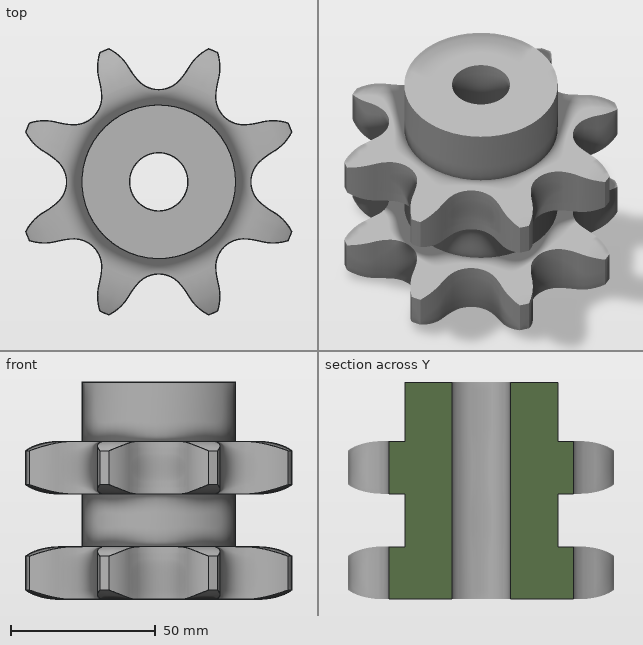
import cadquery as cq
import math


tooth_count = 8
chain_pitch = 31.7
roller_diameter = 19.0
tip_radius = 49.1
ring_width = 18.2
ring_gap = 18.2
tip_width = 11.7
crown_start_radius = 34.6
hub_diameter = 53.0
bore_diameter = 20.0
total_height = 75.0

seat_factor = 0.5025
flank_center_factor = 0.8
head_center_factor = 1.4
seat_end_angle = math.radians(35 + 60 / tooth_count)
flank_sweep = math.radians(18 - 56 / tooth_count)

half_pitch_angle = math.pi / tooth_count
pitch_radius = chain_pitch / (2 * math.sin(half_pitch_angle))
seat_radius = seat_factor * roller_diameter
flank_center_offset = flank_center_factor * roller_diameter
flank_radius = seat_radius + flank_center_offset
head_center_offset = head_center_factor * roller_diameter


def polar_step(start, length, angle):
    """Point at the given distance and direction from start."""
    return (start[0] + length * math.cos(angle), start[1] + length * math.sin(angle))


def mirrored(point):
    return (point[0], -point[1])


def tooth_gap():
    """Cutter for the gap on +X: roller seat, concave flanks, short straights, convex heads."""
    roller_center = (pitch_radius, 0)

    seat_bottom = (pitch_radius - seat_radius, 0)
    seat_end_direction = math.pi / 2 + seat_end_angle
    seat_end = polar_step(roller_center, seat_radius, seat_end_direction)
    flank_center = polar_step(roller_center, -flank_center_offset, seat_end_direction)
    flank_end_direction = seat_end_direction - flank_sweep
    flank_middle = polar_step(flank_center, flank_radius, seat_end_direction - flank_sweep / 2)
    flank_end = polar_step(flank_center, flank_radius, flank_end_direction)

    head_center = polar_step(roller_center, head_center_offset, math.pi / 2 + half_pitch_angle)
    head_radius = (
        (flank_end[0] - head_center[0]) * math.cos(flank_end_direction + math.pi)
        + (flank_end[1] - head_center[1]) * math.sin(flank_end_direction + math.pi)
    )
    head_start_direction = flank_end_direction - math.pi
    head_start = polar_step(head_center, head_radius, head_start_direction)

    center_distance = math.hypot(*head_center)
    center_angle = math.atan2(head_center[1], head_center[0]) - half_pitch_angle
    along = center_distance * math.cos(center_angle)
    across = center_distance * math.sin(center_angle)
    point_radius = along + math.sqrt(head_radius**2 - across**2)
    tooth_point = polar_step((0, 0), point_radius, half_pitch_angle)
    head_end_direction = math.atan2(tooth_point[1] - head_center[1], tooth_point[0] - head_center[0])
    head_middle = polar_step(head_center, head_radius, (head_start_direction + head_end_direction) / 2)

    return (
        cq.Workplane("XY")
        .moveTo(*mirrored(tooth_point))
        .threePointArc(mirrored(head_middle), mirrored(head_start))
        .lineTo(*mirrored(flank_end))
        .threePointArc(mirrored(flank_middle), mirrored(seat_end))
        .threePointArc(seat_bottom, seat_end)
        .threePointArc(flank_middle, flank_end)
        .lineTo(*head_start)
        .threePointArc(head_middle, tooth_point)
        .threePointArc((point_radius, 0), mirrored(tooth_point))
        .close()
        .extrude(ring_width)
    )


def crowned_blank():
    """Disc whose faces curve tangentially down to the narrower rim."""
    rim_drop = (ring_width - tip_width) / 2
    crown_depth = tip_radius - crown_start_radius
    crown_radius = (crown_depth**2 + rim_drop**2) / (2 * rim_drop)
    middle_depth = crown_depth / 2
    middle_drop = crown_radius - math.sqrt(crown_radius**2 - middle_depth**2)
    middle_radius = crown_start_radius + middle_depth
    return (
        cq.Workplane("XZ")
        .lineTo(crown_start_radius, 0)
        .threePointArc((middle_radius, middle_drop), (tip_radius, rim_drop))
        .lineTo(tip_radius, ring_width - rim_drop)
        .threePointArc((middle_radius, ring_width - middle_drop), (crown_start_radius, ring_width))
        .lineTo(0, ring_width)
        .close()
        .revolve(360, (0, 0, 0), (0, 1, 0))
    )


def tooth_ring():
    ring = crowned_blank()
    gap = tooth_gap()
    for index in range(tooth_count):
        ring = ring.cut(gap.rotate((0, 0, 0), (0, 0, 1), index * 360 / tooth_count))
    return ring


lower_ring = tooth_ring()
upper_ring = lower_ring.translate((0, 0, ring_width + ring_gap))
hub = cq.Workplane("XY").circle(hub_diameter / 2).extrude(total_height)
bore = cq.Workplane("XY").circle(bore_diameter / 2).extrude(total_height)

result = hub.union(lower_ring).union(upper_ring).cut(bore)